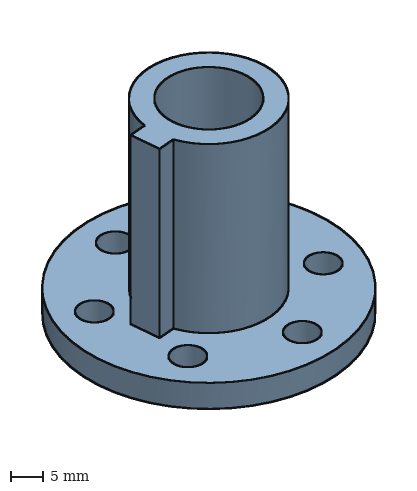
import cadquery as cq

flange_diameter = 52.0
flange_thickness = 5.0
bolt_circle_diameter = 38.0
bolt_hole_diameter = 6.05
bolt_hole_count = 6

total_height = 41.0
sleeve_diameter = 24.95
bore_diameter = 17.0
key_width = 5.9
key_reach = 15.5

sleeve_height = total_height - flange_thickness


def make_flange():
    """Round base plate with a ring of through holes, two of them on the X axis."""
    plate = cq.Workplane("XY").circle(flange_diameter / 2).extrude(flange_thickness)
    holes = (
        cq.Workplane("XY")
        .polarArray(bolt_circle_diameter / 2, 0, 360, bolt_hole_count)
        .circle(bolt_hole_diameter / 2)
        .extrude(flange_thickness)
    )
    return plate.cut(holes)


def make_keyed_sleeve():
    """Cylinder standing on the flange, with a full-height rectangular key."""
    top_of_flange = cq.Workplane("XY").workplane(offset=flange_thickness)
    sleeve = top_of_flange.circle(sleeve_diameter / 2).extrude(sleeve_height)
    key = (
        top_of_flange.center(0, -key_reach / 2)
        .rect(key_width, key_reach)
        .extrude(sleeve_height)
    )
    return sleeve.union(key)


bore = cq.Workplane("XY").circle(bore_diameter / 2).extrude(total_height)
result = make_flange().union(make_keyed_sleeve()).cut(bore)